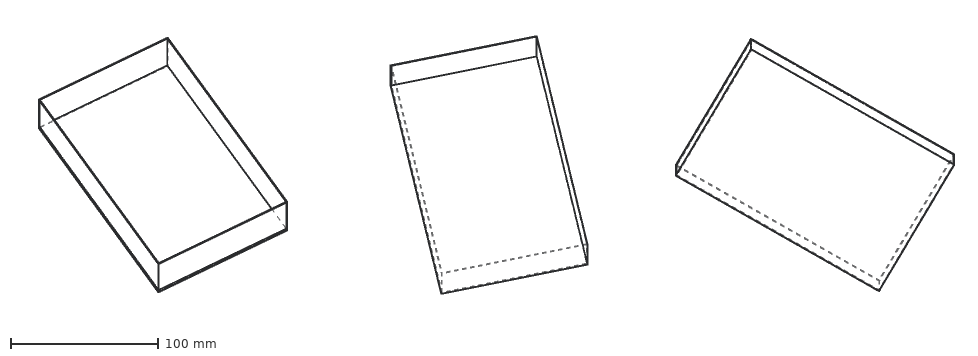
import cadquery as cq

length = 159.6
width = 101.7
height = 32.9
wall = 0.6
floor = 1.6

outer = cq.Workplane("XY").box(length, width, height, centered=(True, True, False))
cavity = (
    cq.Workplane("XY")
    .workplane(offset=floor)
    .box(length - 2 * wall, width - 2 * wall, height - floor, centered=(True, True, False))
)

result = outer.cut(cavity)